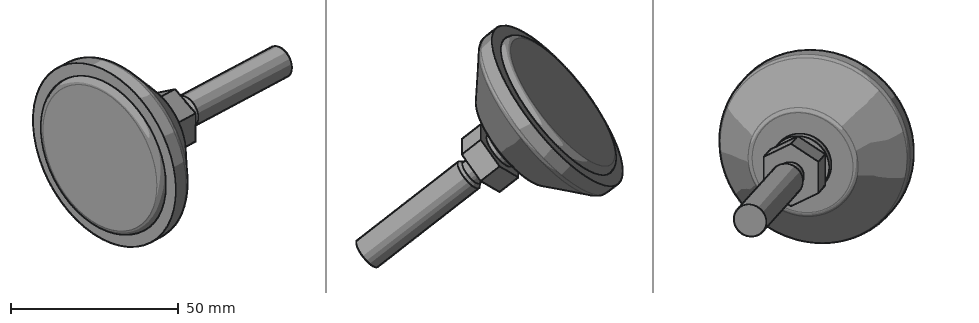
import cadquery as cq
import math

total_length = 77.5
pad_height = 2.0
rim_height = 5.2
foot_top = 20.0
flange_height = 2.5
collar_height = 2.5
hex_height = 7.5
neck_height = 3.7
stud_chamfer = 1.0

foot_radius = 59.0 / 2
foot_top_radius = 16.4
pad_radius = 25.4
pad_round = 1.9
flange_radius = 9.0
collar_radius = 5.9
hex_across_flats = 17.0
neck_radius = 4.0
stud_radius = 5.0

foot_round = 2.0

shoulder_y = pad_height + rim_height
flange_top = foot_top + flange_height
collar_top = flange_top + collar_height
hex_top = collar_top + hex_height
neck_top = hex_top + neck_height


def disc(radius, start, end):
    """Cylinder around the Y axis between two levels."""
    return cq.Workplane("XZ", origin=(0, start, 0)).circle(radius).extrude(start - end)


def make_pad():
    return disc(pad_radius, 0, pad_height).faces("<Y").edges().fillet(pad_round)


def make_foot():
    """Conical foot with a straight rim and rounded upper edges."""
    profile = (
        cq.Workplane("XY")
        .moveTo(0, pad_height)
        .lineTo(foot_radius, pad_height)
        .lineTo(foot_radius, shoulder_y)
        .lineTo(foot_top_radius, foot_top)
        .lineTo(0, foot_top)
        .close()
    )
    foot = profile.revolve(360, (0, 0, 0), (0, 1, 0))
    shoulder_edge = cq.selectors.BoxSelector(
        (-2 * foot_radius, shoulder_y - 0.1, -2 * foot_radius),
        (2 * foot_radius, shoulder_y + 0.1, 2 * foot_radius),
    )
    foot = foot.edges(shoulder_edge).edges("%CIRCLE").fillet(foot_round)
    return foot.faces(">Y").edges().fillet(foot_round)


def make_hex():
    """Hexagon with two corners on the Z axis."""
    corner_diameter = hex_across_flats / math.cos(math.pi / 6)
    return (
        cq.Workplane("XZ", origin=(0, collar_top, 0))
        .transformed(rotate=(0, 0, 90))
        .polygon(6, corner_diameter)
        .extrude(-hex_height)
    )


def make_stud():
    return disc(stud_radius, neck_top, total_length).faces("<Y").edges().chamfer(stud_chamfer)


result = (
    make_pad()
    .union(make_foot())
    .union(disc(flange_radius, foot_top, flange_top))
    .union(disc(collar_radius, flange_top, collar_top))
    .union(make_hex())
    .union(disc(neck_radius, hex_top, neck_top))
    .union(make_stud())
)